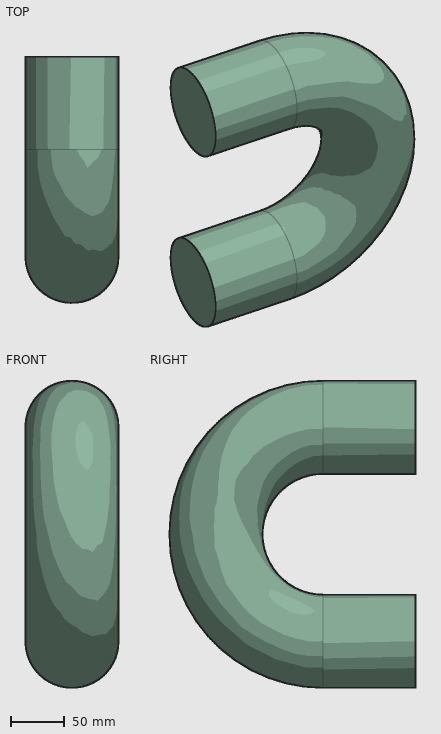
import cadquery as cq

overall_height = 284.8
overall_depth = 228.5
tube_diameter = 86.5

outer_bend_radius = overall_height / 2
bend_radius = outer_bend_radius - tube_diameter / 2
leg_length = overall_depth - outer_bend_radius


def make_bend():
    """Half torus about the X axis, bulging toward -Y."""
    return (
        cq.Workplane("XZ")
        .center(0, bend_radius)
        .circle(tube_diameter / 2)
        .revolve(180, (0, -bend_radius), (1, -bend_radius))
    )


def make_leg(center_z):
    """Straight round leg running from the end of the bend toward +Y."""
    return (
        cq.Workplane("XZ")
        .center(0, center_z)
        .circle(tube_diameter / 2)
        .extrude(-leg_length)
    )


result = make_bend()
for leg_z in (-bend_radius, bend_radius):
    result = result.union(make_leg(leg_z))